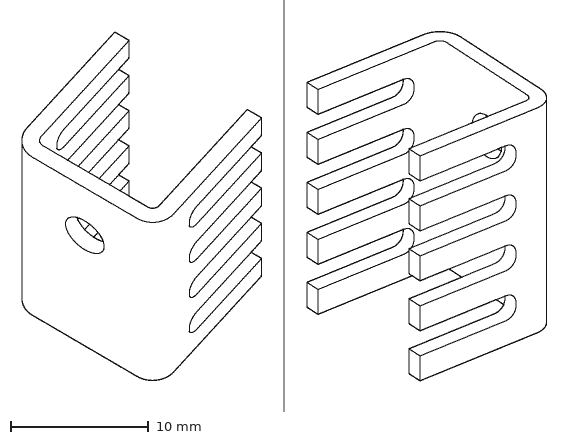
import cadquery as cq

width = 13.2
depth = 12.7
height = 19.05

thickness = 1.3
outer_radius = 1.9
inner_radius = outer_radius - thickness

fin_count = 5
slot_count = fin_count - 1
fin_pitch = height / (fin_count + slot_count) * 2
slot_width = fin_pitch / 2
slot_depth = 8.9
slot_corner_radius = 0.95

hole_diameter = 3.47
hole_height = 13.34


def make_channel():
    """U-shaped channel, open towards +Y, with its back wall on y = 0."""
    outer = (
        cq.Workplane("XY")
        .box(width, depth, height, centered=(True, False, False))
        .edges("|Z and <Y")
        .fillet(outer_radius)
    )
    cavity = (
        cq.Workplane("XY")
        .box(width - 2 * thickness, depth, height, centered=(True, False, False))
        .translate((0, thickness, 0))
        .edges("|Z and <Y")
        .fillet(inner_radius)
    )
    return outer.cut(cavity)


def make_slot(index):
    """Round-cornered slot through both side walls, open at the fin tips."""
    bottom = slot_width + index * fin_pitch
    return (
        cq.Workplane("XY")
        .box(width, slot_depth, slot_width, centered=(True, False, False))
        .translate((0, depth - slot_depth, bottom))
        .edges("|X and <Y")
        .fillet(slot_corner_radius)
    )


def make_hole():
    """Round cutter through the back wall along Y."""
    return (
        cq.Workplane("XZ", origin=(0, thickness, hole_height))
        .circle(hole_diameter / 2)
        .extrude(thickness)
    )


result = make_channel().cut(make_hole())
for slot_index in range(slot_count):
    result = result.cut(make_slot(slot_index))